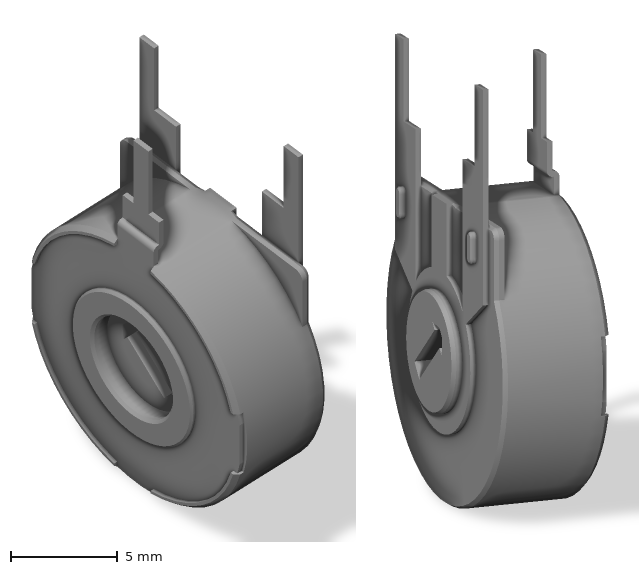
import cadquery as cq
import math


overall_height = 21.5
body_diameter = 14.98
body_radius = body_diameter / 2
lead_top = overall_height - body_radius
depth_total = 6.35

rim_front = 0.06
plate_front = 0.25
sheet_thickness = 0.28
block_front = 5.05
body_rear = 5.55
lead_rear = body_rear + sheet_thickness
rivet_rear = 6.12

rim_chamfer_radial = 0.21
rim_chamfer_depth = 0.25
rim_inner_radius = 7.11
rear_chamfer_radial = 0.13
rear_chamfer_depth = 0.21
top_flat_z = 7.35
flat_edge_radius = 0.75
block_half_width = 6.36
block_corner_radius = 0.5

tab_half_width = 1.27
side_gap_half_height = 1.93
plate_radius = 7.35
plate_half_width = 7.25

rotor_radius = 4.2
rotor_chamfer = 0.1
rotor_root_depth = 0.47
recess_radius = 2.75
recess_chamfer = 0.15
recess_depth = 0.97
boss_radius = 2.95
boss_chamfer_depth = 0.21
boss_chamfer_radial = 0.09

arrow_angle = 140
arrow_tail = -1.98
arrow_shoulder = 1.35
arrow_tip = 1.98
arrow_shaft_half = 0.47
arrow_barb_half = 0.9
arrow_tip_half = 0.28

rear_disc_radius = 3.95
tongue_half_width = 0.92
pin_width = 1.03
lead_outer_x = 5.55
lead_inner_x = 2.99
lead_shoulder_z = 10.01
lead_corner_z = 3.55
lead_foot_x = 3.22
lead_foot_z = 2.0
rivet_x = 4.5
rivet_z = 6.1
rivet_width = 0.55
rivet_length = 1.55
rivet_chamfer = 0.09

wiper_shoulder_z = 9.95
wiper_offset = 0.35
wiper_bend_z = 8.23


def plane_at(y):
    """Sketch plane facing -Y at depth y; its axes are X and Z."""
    return cq.Workplane("XZ", origin=(0, y, 0))


def disc(radius, y_front, y_rear):
    return plane_at(y_rear).circle(radius).extrude(y_rear - y_front)


def revolve_about_axis(half_section):
    """Solid of revolution about Y from (radius, y) points."""
    return cq.Workplane("XY").polyline(half_section).close().revolve(360, (0, 0, 0), (0, 1, 0))


def box(x_min, x_max, y_min, y_max, z_min, z_max):
    size = (x_max - x_min, y_max - y_min, z_max - z_min)
    return cq.Workplane("XY").box(*size, centered=False).translate((x_min, y_min, z_min))


def make_housing():
    rim_corner_depth = rim_front + rim_chamfer_depth
    half_section = [
        (0, plate_front),
        (rim_inner_radius, plate_front),
        (rim_inner_radius, rim_front),
        (body_radius - rim_chamfer_radial, rim_front),
        (body_radius, rim_corner_depth),
        (body_radius, body_rear - rear_chamfer_depth),
        (body_radius - rear_chamfer_radial, body_rear),
        (0, body_rear),
    ]
    drum = revolve_about_axis(half_section)
    block = box(-block_half_width, block_half_width, block_front, body_rear, 0, top_flat_z)
    block = block.edges("|Y and >Z").fillet(block_corner_radius)
    block = block.faces(">Y").edges(">Z").chamfer(rear_chamfer_radial, rear_chamfer_depth)
    flat_half_width = math.sqrt(body_radius**2 - top_flat_z**2)
    envelope = (
        plane_at(depth_total)
        .moveTo(-flat_half_width, top_flat_z)
        .lineTo(flat_half_width, top_flat_z)
        .threePointArc((0, -body_radius), (-flat_half_width, top_flat_z))
        .close()
        .extrude(depth_total)
        .edges("|Y")
        .fillet(flat_edge_radius)
    )
    return drum.intersect(envelope).union(block)


def cut_rim_gaps(housing):
    reach = 2 * body_radius
    housing = housing.cut(box(-tab_half_width, tab_half_width, 0, plate_front, -reach, reach))
    plate_rear = plate_front + sheet_thickness
    sides = box(-reach, reach, 0, plate_rear, -side_gap_half_height, side_gap_half_height)
    plate = disc(plate_radius, plate_front, plate_rear)
    plate = plate.intersect(box(-plate_half_width, plate_half_width, 0, depth_total, -reach, reach))
    return housing.cut(sides.cut(plate))


def make_wiper():
    lower_front = plate_front
    lower_rear = lower_front + sheet_thickness
    upper_front = lower_front + wiper_offset
    upper_rear = upper_front + sheet_thickness
    bend_bottom = wiper_bend_z
    bend_top = bend_bottom + sheet_thickness
    bent_strip = (
        cq.Workplane("YZ", origin=(-tab_half_width, 0, 0))
        .moveTo(lower_front, 0)
        .lineTo(lower_front, bend_bottom)
        .radiusArc((lower_rear, bend_top), sheet_thickness)
        .lineTo(upper_front, bend_top)
        .lineTo(upper_front, lead_top)
        .lineTo(upper_rear, lead_top)
        .lineTo(upper_rear, bend_top)
        .radiusArc((upper_front, bend_bottom), sheet_thickness)
        .lineTo(lower_rear, bend_bottom)
        .lineTo(lower_rear, 0)
        .close()
        .extrude(2 * tab_half_width)
    )
    for side in (-1, 1):
        edges = sorted((side * pin_width / 2, side * tab_half_width))
        bent_strip = bent_strip.cut(box(*edges, 0, depth_total, wiper_shoulder_z, lead_top))
    return bent_strip


def make_rear_lead(side):
    outline = [
        (lead_outer_x, lead_corner_z),
        (lead_outer_x, lead_top),
        (lead_outer_x - pin_width, lead_top),
        (lead_outer_x - pin_width, lead_shoulder_z),
        (lead_inner_x, lead_shoulder_z),
        (lead_inner_x, lead_foot_z),
        (lead_foot_x, lead_foot_z),
    ]
    points = [(side * x, z) for x, z in outline]
    lead = plane_at(lead_rear).polyline(points).close().extrude(sheet_thickness)
    rivet = (
        plane_at(rivet_rear)
        .center(side * rivet_x, rivet_z)
        .slot2D(rivet_length, rivet_width, 90)
        .extrude(rivet_rear - body_rear)
        .faces(">Y")
        .chamfer(rivet_chamfer)
    )
    return lead.union(rivet)


def make_rear_disc():
    tongue = box(-tongue_half_width, tongue_half_width, block_front, lead_rear, 0, top_flat_z)
    boss = disc(boss_radius, body_rear, depth_total)
    boss = boss.faces(">Y").chamfer(boss_chamfer_depth, boss_chamfer_radial)
    return disc(rear_disc_radius, body_rear, lead_rear).union(tongue).union(boss)


def make_rotor_ring():
    return disc(rotor_radius, 0, rotor_root_depth).faces("<Y").chamfer(rotor_chamfer)


def make_recess():
    bore = disc(recess_radius, 0, recess_depth)
    mouth_section = [
        (0, 0),
        (recess_radius + recess_chamfer, 0),
        (recess_radius, recess_chamfer),
        (0, recess_chamfer),
    ]
    mouth = revolve_about_axis(mouth_section)
    return bore.union(mouth)


def make_arrow_slot():
    upper_half = [
        (arrow_tail, arrow_shaft_half),
        (arrow_shoulder, arrow_shaft_half),
        (arrow_shoulder, arrow_barb_half),
        (arrow_tip, arrow_tip_half),
    ]
    outline = upper_half + [(along, -across) for along, across in reversed(upper_half)]
    angle = math.radians(arrow_angle)
    points = [
        (
            along * math.cos(angle) - across * math.sin(angle),
            along * math.sin(angle) + across * math.cos(angle),
        )
        for along, across in outline
    ]
    return plane_at(depth_total).polyline(points).close().extrude(depth_total)


result = cut_rim_gaps(make_housing())
result = result.union(make_wiper()).union(make_rear_disc()).union(make_rotor_ring())
for side in (-1, 1):
    result = result.union(make_rear_lead(side))
result = result.cut(make_recess()).cut(make_arrow_slot())